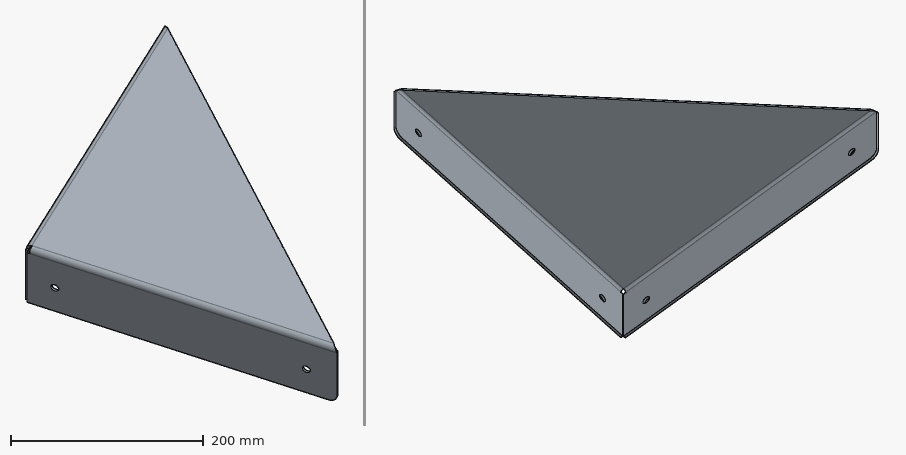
import cadquery as cq
import math

side = 356.0
height = 80.0
thickness = 3.0
bend_radius = 6.0
flange_start = 3.2
corner_radius = 10.0
hole_diameter = 9.0
hole_inset = 35.0
hole_height = 35.0

bend_line = height - bend_radius


def make_plate():
    """Triangular top plate, bounded by the two bends and the diagonal."""
    far_end = side - bend_radius
    return (
        cq.Workplane("XY", origin=(0, 0, height - thickness))
        .moveTo(bend_radius, bend_radius)
        .lineTo(far_end, bend_radius)
        .lineTo(bend_radius, far_end)
        .close()
        .extrude(thickness)
    )


def make_bend():
    """Bend along X; its far end slopes from the diagonal to the flange end."""
    inner_radius = bend_radius - thickness
    middle = math.sqrt(0.5)
    bend = (
        cq.Workplane("YZ", origin=(bend_radius, bend_radius, bend_line))
        .moveTo(-bend_radius, 0)
        .threePointArc((-bend_radius * middle, bend_radius * middle), (0, bend_radius))
        .lineTo(0, inner_radius)
        .threePointArc((-inner_radius * middle, inner_radius * middle), (-inner_radius, 0))
        .close()
        .extrude(side - bend_radius)
    )
    waste_width = 2 * bend_radius
    waste = (
        cq.Workplane("YZ", origin=(side - bend_radius, bend_radius, bend_line))
        .rect(waste_width, waste_width, centered=False)
        .twistExtrude(bend_radius, 90)
    )
    return bend.cut(waste)


def make_flange():
    """Upright wall along X with two holes and a rounded lower corner."""
    wall = (
        cq.Workplane("XY")
        .box(side - flange_start, thickness, bend_line, centered=False)
        .translate((flange_start, 0, 0))
        .edges("|Y and >X and <Z")
        .fillet(corner_radius)
    )
    holes = (
        cq.Workplane("XZ")
        .pushPoints([(hole_inset, hole_height), (side - hole_inset, hole_height)])
        .circle(hole_diameter / 2)
        .extrude(-thickness)
    )
    return wall.cut(holes)


folded_side = make_bend().union(make_flange())
mirrored_side = folded_side.rotate((0, 0, 0), (0, 0, 1), 90).mirror("YZ")

result = make_plate().union(folded_side).union(mirrored_side)